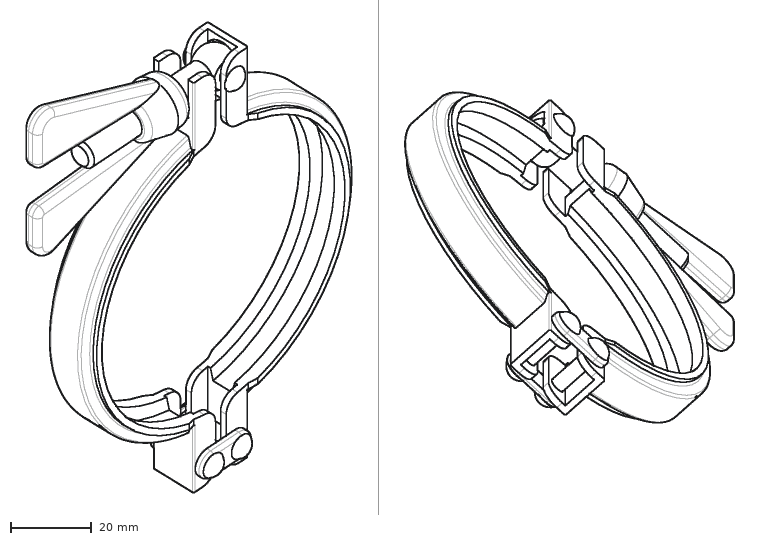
import cadquery as cq
import math


sheet = 1.9

band_crest_radius = 49.0
band_lip_radius = 45.5
band_bore_radius = band_lip_radius - sheet
crest_half_width = 5.2
wall_foot_half_width = 6.0
lip_half_width = 7.8
band_bend = 0.7
lip_bevel_length = 2.5

ear_back = 9.8
ear_front = 1.9
ear_tip = 66.1
ear_half_width = 7.0
ear_corner = 4.7
ear_bend = 0.5

pin_z = 58.7
bolt_pivot_y = 4.9
hinge_y = 5.0
bolt_pin_diameter = 4.9
hinge_pin_diameter = 4.0
pin_head_diameter = 7.1
pin_head_height = 2.2

link_thickness = 2.2
link_width = 8.3
link_edge_round = 1.0

shank_diameter = 8.0
shank_tip_y = -43.2
shank_chamfer = 1.0
eye_radius = 6.0
eye_half_width = 4.1
eye_opening_radius = 5.9

nut_clearance = 0.6
nut_seat_radius = 7.4
nut_rim_radius = 8.1
nut_end_radius = 4.5
nut_collar_length = 6.0
nut_cone_length = 8.7
nut_seat_round = 3.1
nut_end_round = 1.6

wing_thickness = 4.9
wing_root_y = -16.3
wing_tip_y = -61.0
wing_root_inner = 4.5
wing_root_outer = 8.1
wing_tip_inner = 6.5
wing_tip_outer = 25.3
wing_outer_corner = 4.9
wing_inner_corner = 2.4
wing_edge_round = 1.8

ear_inner_half_width = ear_half_width - sheet
plate_inside = ear_back - sheet
crest_inner_radius = band_crest_radius - sheet
crest_inner_half_width = crest_half_width - sheet
mouth_half_width = wall_foot_half_width - sheet
shank_radius = shank_diameter / 2


def box_between(x_range, y_range, z_range):
    """Axis-parallel box spanning the three ranges."""
    (x0, x1), (y0, y1), (z0, z1) = x_range, y_range, z_range
    return cq.Workplane("XY").box(x1 - x0, y1 - y0, z1 - z0, centered=False).translate((x0, y0, z0))


def x_cylinder(radius, half_length, y=0.0, z=0.0):
    """Cylinder along X, symmetric about X = 0."""
    return cq.Workplane("YZ").center(y, z).circle(radius).extrude(half_length, both=True)


def around_x(profile):
    """Revolve an XY profile about the X axis."""
    return profile.revolve(360, (0, 0, 0), (1, 0, 0))


def channel_space():
    """Ring of space inside the band's channel."""
    profile = cq.Workplane("XY").polyline([
        (-mouth_half_width, band_bore_radius),
        (-crest_inner_half_width, crest_inner_radius),
        (crest_inner_half_width, crest_inner_radius),
        (mouth_half_width, band_bore_radius),
    ]).close()
    return around_x(profile)


def full_band():
    """Complete ring with the outside shape of the channel and its lips."""
    profile = cq.Workplane("XY").polyline([
        (-lip_half_width, band_bore_radius),
        (-lip_half_width, band_lip_radius),
        (-wall_foot_half_width, band_lip_radius),
        (-crest_half_width, band_crest_radius),
        (crest_half_width, band_crest_radius),
        (wall_foot_half_width, band_lip_radius),
        (lip_half_width, band_lip_radius),
        (lip_half_width, band_bore_radius),
    ]).close()
    ring = around_x(profile)
    reach = 2 * band_crest_radius
    bend_limit = wall_foot_half_width + band_bend
    near_walls = cq.selectors.BoxSelector(
        (-bend_limit, -reach, -reach), (bend_limit, reach, reach))
    return ring.edges("%CIRCLE").edges(near_walls).fillet(band_bend)


def half_band():
    """The +Y part of the band, with the lip ends tapered to the ear width."""
    reach = 2 * band_crest_radius
    outline = [
        (-ear_half_width, plate_inside),
        (-ear_half_width, ear_back),
        (-lip_half_width, ear_back + lip_bevel_length),
        (-lip_half_width, reach),
        (lip_half_width, reach),
        (lip_half_width, ear_back + lip_bevel_length),
        (ear_half_width, ear_back),
        (ear_half_width, plate_inside),
    ]
    keep = cq.Workplane("XY").polyline(outline).close().extrude(reach, both=True)
    return full_band().intersect(keep)


def top_ear():
    """U-shaped ear above the band, open towards -Y."""
    start = band_bore_radius - ear_corner
    ear = box_between((-ear_half_width, ear_half_width), (ear_front, ear_back), (start, ear_tip))
    ear = ear.cut(x_cylinder(band_bore_radius, lip_half_width))
    ear = ear.faces("<Y").edges("|X").fillet(ear_corner)
    ear = ear.edges("|Z and >Y").fillet(ear_bend)
    pocket = box_between(
        (-ear_inner_half_width, ear_inner_half_width), (0, plate_inside), (0, ear_tip + sheet))
    return ear.cut(pocket)


def clamp_half():
    """The +Y half of the clamp: half band with an ear at each end and hinge holes."""
    ear = top_ear()
    half = half_band().union(ear).union(ear.mirror("XY")).cut(channel_space())
    return half.cut(x_cylinder(hinge_pin_diameter / 2, ear_half_width, hinge_y, -pin_z))


def bolt_side_half():
    """Half carrying the bolt pin, with an opening in the back plate for the bolt eye."""
    opening = cq.Workplane("XZ", origin=(0, 0, pin_z)).circle(eye_opening_radius).extrude(-2 * ear_back)
    between_cheeks = box_between(
        (-ear_inner_half_width, ear_inner_half_width), (0, 2 * ear_back), (0, 2 * pin_z))
    half = clamp_half().cut(opening.intersect(between_cheeks))
    return half.cut(x_cylinder(bolt_pin_diameter / 2, ear_half_width, bolt_pivot_y, pin_z))


def nut_side_half():
    """Half on the nut side, with an open slot the bolt swings into."""
    slot = box_between(
        (-ear_inner_half_width, ear_inner_half_width),
        (-2 * ear_back, 0),
        (pin_z - ear_inner_half_width, 2 * pin_z),
    )
    return clamp_half().mirror("XZ").cut(slot)


def domed_pin(diameter, head_seat, y, z):
    """Pin along X with a domed head seated at X = +/-head_seat."""
    radius = diameter / 2
    head_radius = pin_head_diameter / 2
    tip = head_seat + pin_head_height
    dome_radius = (head_radius ** 2 + pin_head_height ** 2) / (2 * pin_head_height)
    half_angle = math.asin(head_radius / dome_radius) / 2
    dome_centre = tip - dome_radius
    mid_x = dome_centre + dome_radius * math.cos(half_angle)
    mid_radius = dome_radius * math.sin(half_angle)
    profile = (
        cq.Workplane("XY")
        .moveTo(-tip, 0)
        .threePointArc((-mid_x, mid_radius), (-head_seat, head_radius))
        .lineTo(-head_seat, radius)
        .lineTo(head_seat, radius)
        .lineTo(head_seat, head_radius)
        .threePointArc((mid_x, mid_radius), (tip, 0))
        .close()
    )
    return around_x(profile).translate((0, y, z))


def hinge_link(side):
    """Link plate joining the two hinge pins; side is +1 or -1 along X."""
    length = 2 * hinge_y + link_width
    link = (
        cq.Workplane("YZ", origin=(ear_half_width, 0, -pin_z))
        .slot2D(length, link_width)
        .extrude(link_thickness)
        .faces(">X").edges().fillet(link_edge_round)
        .faces("<X").workplane(centerOption="CenterOfBoundBox")
        .pushPoints([(-hinge_y, 0), (hinge_y, 0)])
        .circle(hinge_pin_diameter / 2).cutThruAll()
    )
    return link if side > 0 else link.mirror("YZ")


def make_swing_bolt():
    """Flat-sided ball eye on a plain shank that points to -Y."""
    ball = cq.Workplane("XY").sphere(eye_radius)
    flats = cq.Workplane("XY").box(2 * eye_half_width, 2 * eye_radius, 2 * eye_radius)
    shank = (
        cq.Workplane("XZ").circle(shank_radius).extrude(bolt_pivot_y - shank_tip_y)
        .faces("<Y").chamfer(shank_chamfer)
    )
    bolt = ball.intersect(flats).union(shank).cut(x_cylinder(bolt_pin_diameter / 2, eye_radius))
    return bolt.translate((0, bolt_pivot_y, pin_z))


def nut_body():
    """Flared collar and cone around the Y axis, just clear of the ear back plate."""
    seat = -ear_back - nut_clearance
    collar_end = seat - nut_collar_length
    cone_end = collar_end - nut_cone_length
    cone_tip_radius = nut_end_radius + nut_end_round
    profile = cq.Workplane("XY").polyline([
        (0, seat),
        (nut_seat_radius, seat),
        (nut_rim_radius, collar_end),
        (cone_tip_radius, cone_end),
        (0, cone_end),
    ]).close()
    body = profile.revolve(360, (0, 0, 0), (0, 1, 0))
    body = body.faces(">Y").edges().fillet(nut_seat_round)
    return body.faces("<Y").edges().fillet(nut_end_round)


def nut_wing():
    """Upper wing: flat tapered plate with all of its rim rounded."""
    half = wing_thickness / 2
    wing = cq.Workplane("YZ").polyline([
        (wing_root_y, wing_root_inner),
        (wing_root_y, wing_root_outer),
        (wing_tip_y, wing_tip_outer),
        (wing_tip_y, wing_tip_inner),
    ]).close().extrude(half, both=True)
    wing = wing.edges("|X").edges(">Z").fillet(wing_outer_corner)
    tip_inner = cq.selectors.NearestToPointSelector((0, wing_tip_y, wing_tip_inner))
    wing = wing.edges("|X").edges(tip_inner).fillet(wing_inner_corner)
    return wing.faces("<X or >X").edges().fillet(wing_edge_round)


def make_wing_nut():
    """Nut body with two mirrored wings, bored to fit the shank."""
    wing = nut_wing()
    bore = cq.Workplane("XZ").circle(shank_radius).extrude(-wing_tip_y)
    nut = nut_body().union(wing).union(wing.mirror("XY")).cut(bore)
    return nut.translate((0, 0, pin_z))


bolt_half = bolt_side_half()
nut_half = nut_side_half()
swing_bolt = make_swing_bolt()
wing_nut = make_wing_nut()
bolt_pin = domed_pin(bolt_pin_diameter, ear_half_width, bolt_pivot_y, pin_z)
hinge_pins = [
    domed_pin(hinge_pin_diameter, ear_half_width + link_thickness, y, -pin_z)
    for y in (-hinge_y, hinge_y)
]
links = [hinge_link(side) for side in (-1, 1)]

result = cq.Compound.makeCompound([
    bolt_half.val(),
    nut_half.val(),
    swing_bolt.val(),
    wing_nut.val(),
    bolt_pin.val(),
    *[pin.val() for pin in hinge_pins],
    *[link.val() for link in links],
])